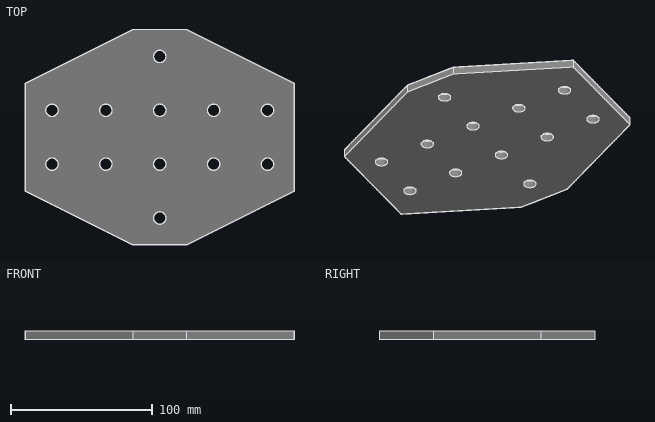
import cadquery as cq

pitch = 38.1
thickness = 6.3
hole_diameter = 8.5

length = 5 * pitch
width = 4 * pitch
end_edge = 2 * pitch
side_edge = pitch


def plate():
    """Flat octagonal plate with its underside on Z = 0."""
    outline = [
        (-length / 2, -end_edge / 2),
        (-side_edge / 2, -width / 2),
        (side_edge / 2, -width / 2),
        (length / 2, -end_edge / 2),
        (length / 2, end_edge / 2),
        (side_edge / 2, width / 2),
        (-side_edge / 2, width / 2),
        (-length / 2, end_edge / 2),
    ]
    return cq.Workplane("XY").polyline(outline).close().extrude(thickness)


def hole_centres():
    """Two rows of five holes, plus one hole beyond each row on the Y axis."""
    rows = [(column * pitch, side * pitch / 2) for column in range(-2, 3) for side in (-1, 1)]
    outer = [(0, side * 1.5 * pitch) for side in (-1, 1)]
    return rows + outer


result = plate().faces(">Z").workplane(origin=(0, 0, 0)).pushPoints(hole_centres()).hole(hole_diameter)